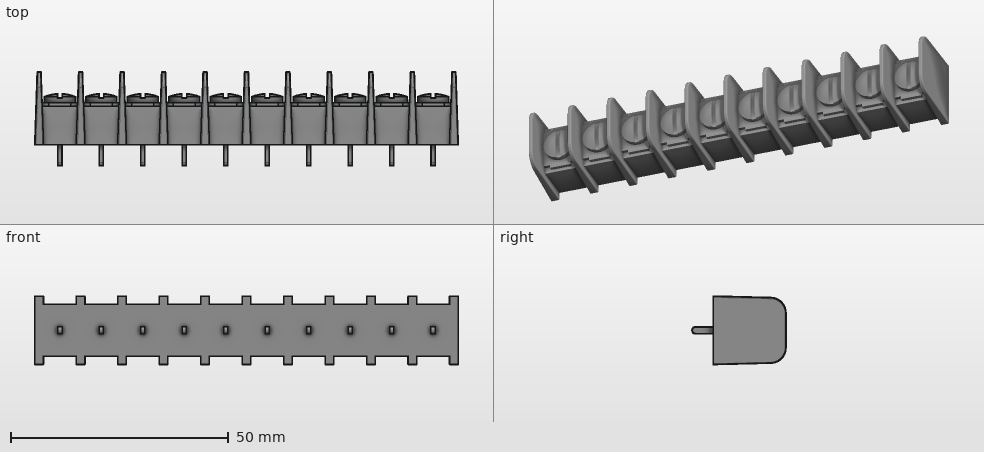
import cadquery as cq

CELL_COUNT = 10
PITCH = 9.525
WALL_COUNT = CELL_COUNT + 1

WALL_BASE_THICKNESS = 2.03
WALL_TIP_THICKNESS = 0.9
WALL_DEPTH = 16.76
WALL_BASE_HEIGHT = 15.75
WALL_TIP_HEIGHT = 14.9
WALL_CORNER_RADIUS = 3.6
WALL_RIM_FILLET = 0.25

BODY_DEPTH = 8.8
BODY_HEIGHT = 12.0

PLATE_THICKNESS = 0.9
PLATE_HEIGHT = 9.0
TAB_WIDTH = 5.0
TAB_HEIGHT = 10.5

SCREW_DIAMETER = 7.2
SCREW_RIM_HEIGHT = 1.3
SCREW_HEAD_HEIGHT = 2.05
SLOT_WIDTH = 1.05
SLOT_DEPTH = 1.0

PIN_WIDTH = 1.0
PIN_HEIGHT = 1.6
PIN_LENGTH = 4.83

ROW_LENGTH = CELL_COUNT * PITCH
PLATE_TOP = BODY_DEPTH + PLATE_THICKNESS
SCREW_TOP = PLATE_TOP + SCREW_HEAD_HEIGHT


def block(width, y_start, y_end, height):
    """Box centred on X and Z, spanning y_start to y_end."""
    return cq.Workplane("XY").box(width, y_end - y_start, height).translate((0, (y_start + y_end) / 2, 0))


def make_wall():
    """Barrier wall that thins and shortens toward its rounded free end."""
    thickness_profile = [
        (-WALL_BASE_THICKNESS / 2, 0),
        (WALL_BASE_THICKNESS / 2, 0),
        (WALL_TIP_THICKNESS / 2, WALL_DEPTH),
        (-WALL_TIP_THICKNESS / 2, WALL_DEPTH),
    ]
    height_profile = [
        (0, -WALL_BASE_HEIGHT / 2),
        (0, WALL_BASE_HEIGHT / 2),
        (WALL_DEPTH, WALL_TIP_HEIGHT / 2),
        (WALL_DEPTH, -WALL_TIP_HEIGHT / 2),
    ]
    tapered = cq.Workplane("XY").polyline(thickness_profile).close().extrude(WALL_BASE_HEIGHT / 2, both=True)
    outline = cq.Workplane("YZ").polyline(height_profile).close().extrude(WALL_BASE_THICKNESS, both=True)
    outline = outline.edges("|X and >Y").fillet(WALL_CORNER_RADIUS)
    wall = tapered.intersect(outline)
    rim_edges = wall.faces("<X or >X").edges("not <Y")
    return rim_edges.fillet(WALL_RIM_FILLET)


def make_screw():
    """Slotted screw head with a spherical dome."""
    rim_y = PLATE_TOP + SCREW_RIM_HEIGHT
    rim_radius = SCREW_DIAMETER / 2
    dome_height = SCREW_HEAD_HEIGHT - SCREW_RIM_HEIGHT
    dome_radius = (rim_radius**2 + dome_height**2) / (2 * dome_height)
    half_section = (
        cq.Workplane("XY")
        .moveTo(0, PLATE_TOP)
        .lineTo(rim_radius, PLATE_TOP)
        .lineTo(rim_radius, rim_y)
        .radiusArc((0, SCREW_TOP), -dome_radius)
        .close()
    )
    head = half_section.revolve(360, (0, 0, 0), (0, 1, 0))
    return head.cut(block(SLOT_WIDTH, SCREW_TOP - SLOT_DEPTH, SCREW_TOP, SCREW_DIAMETER))


def make_pin():
    """Flat solder pin whose tip is a half circle across its height."""
    half_height = PIN_HEIGHT / 2
    arc_start_y = -PIN_LENGTH + half_height
    profile = (
        cq.Workplane("YZ")
        .moveTo(0, half_height)
        .lineTo(arc_start_y, half_height)
        .threePointArc((-PIN_LENGTH, 0), (arc_start_y, -half_height))
        .lineTo(0, -half_height)
        .close()
    )
    return profile.extrude(PIN_WIDTH / 2, both=True)


def make_terminal():
    """Clamp plate, screw and pin of one cell."""
    plate = block(PITCH, BODY_DEPTH, PLATE_TOP, PLATE_HEIGHT)
    tabs = block(TAB_WIDTH, BODY_DEPTH, PLATE_TOP, TAB_HEIGHT)
    return plate.union(tabs).union(make_screw()).union(make_pin())


def row_of(item, count):
    """Copies of one item, a pitch apart and centred on the row."""
    first_x = -(count - 1) * PITCH / 2
    return [item.translate((first_x + index * PITCH, 0, 0)) for index in range(count)]


result = block(ROW_LENGTH, 0, BODY_DEPTH, BODY_HEIGHT)
for feature in row_of(make_wall(), WALL_COUNT) + row_of(make_terminal(), CELL_COUNT):
    result = result.union(feature)